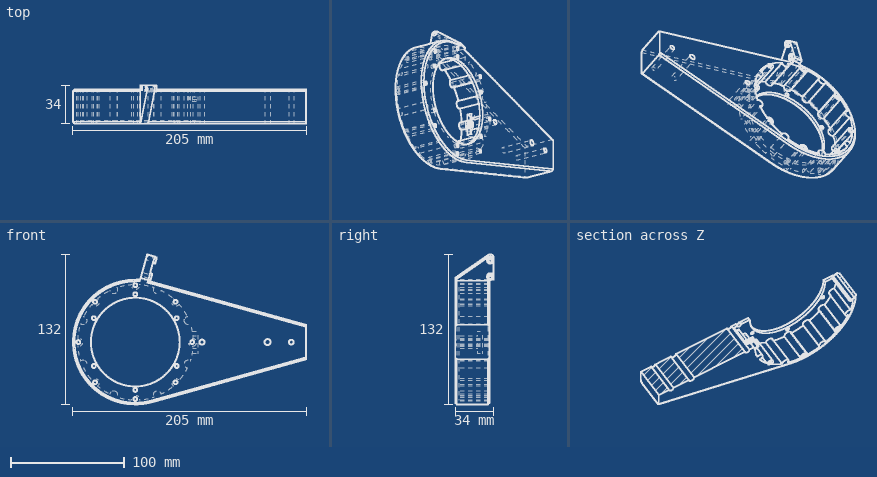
import cadquery as cq
import math

head_radius = 55.0
arm_length = 150.0
arm_end_half_height = 15.2
body_depth = 30.3
edge_chamfer = 1.6

plate_thickness = 3.0
plate_opening_radius = 39.0
cavity_radius = 50.8
column_count = 16
column_radius = 3.5

screw_hole_diameter = 3.3
outer_circle_radius = 50.0
outer_screw_count = 8
inner_circle_radius = 42.0
inner_screw_count = 6
inner_first_angle = 30
arm_holes = [(58.6, 4.3), (116.2, 5.1), (137.1, 4.0)]

notch_half_height = 5.5
notch_back = 19.7
slot_half_height = 9.6
slot_back = 24.0
slot_start = 47.5
tab_thickness = 2.0
pocket_end = head_radius

bracket_thickness = 7.0
bracket_offset = -10.7
bracket_top = 77.0
bracket_back = 34.0
bracket_root = 51.2
bracket_toe = 55.5
bracket_nose_radius = 3.0
bracket_boss_radius = 2.9
bracket_boss_height = 2.0
lower_boss_height = 59.0
ramp_height = 55.4

arm_corner_distance = math.hypot(arm_length, arm_end_half_height)
arm_corner_angle = math.atan2(arm_end_half_height, arm_length)
tangent_angle = arm_corner_angle + math.acos(head_radius / arm_corner_distance)
flank_slope = 90 - math.degrees(tangent_angle)
tangent_x = head_radius * math.cos(tangent_angle)
tangent_z = head_radius * math.sin(tangent_angle)


def front_plane(y):
    """Plane at the given Y with local axes X and Z; negative extrusions run toward +Y."""
    return cq.Workplane("XZ", origin=(0, y, 0))


def cylinder(x, z, radius, front, back):
    return front_plane(front).center(x, z).circle(radius).extrude(front - back)


def along_flank(offset, height):
    """X and Z of a point given along and square to the upper flank, from the head centre."""
    slope = math.radians(flank_slope)
    x = offset * math.cos(slope) + height * math.sin(slope)
    z = height * math.cos(slope) - offset * math.sin(slope)
    return x, z


def make_body():
    slope = math.radians(flank_slope)
    ramp_end = bracket_offset / math.cos(slope) + ramp_height * math.tan(slope)
    foot_end_offset = bracket_offset + bracket_thickness
    foot_end = along_flank(foot_end_offset, math.sqrt(head_radius**2 - foot_end_offset**2))
    body = (
        front_plane(0)
        .moveTo(tangent_x, tangent_z)
        .lineTo(arm_length, arm_end_half_height)
        .lineTo(arm_length, -arm_end_half_height)
        .lineTo(tangent_x, -tangent_z)
        .threePointArc((-head_radius, 0), (0, head_radius))
        .lineTo(ramp_end, ramp_height)
        .lineTo(*foot_end)
        .radiusArc((tangent_x, tangent_z), head_radius)
        .close()
        .extrude(-body_depth)
    )
    outer_edges = body.faces("<Y or >Y").edges("not(>X)")
    return outer_edges.chamfer(edge_chamfer)


def ring_points(radius, count, first_angle=0.0):
    step = 2 * math.pi / count
    angles = [math.radians(first_angle) + i * step for i in range(count)]
    return [(radius * math.cos(a), radius * math.sin(a)) for a in angles]


def make_cavity():
    """Space behind the plate, less the columns left standing against its wall."""
    cavity = cylinder(0, 0, cavity_radius, plate_thickness, body_depth)
    columns = (
        front_plane(0)
        .pushPoints(ring_points(outer_circle_radius, column_count))
        .circle(column_radius)
        .extrude(-body_depth)
    )
    return cavity.cut(columns)


def make_screw_holes():
    points = ring_points(outer_circle_radius, outer_screw_count)
    points += ring_points(inner_circle_radius, inner_screw_count, inner_first_angle)
    holes = front_plane(0).pushPoints(points).circle(screw_hole_diameter / 2).extrude(-body_depth)
    for x, diameter in arm_holes:
        holes = holes.union(cylinder(x, 0, diameter / 2, 0, body_depth))
    return holes


def make_latch_pocket():
    """Two boxes, both centred on Z = 0: a notch behind the plate and a taller slot behind it.

    A round tab of the column is left at the front of the slot, around its screw hole.
    """
    notch = cq.Workplane("XY").box(
        pocket_end - plate_opening_radius,
        notch_back - plate_thickness,
        2 * notch_half_height,
        centered=(False, False, True),
    )
    slot = cq.Workplane("XY").box(
        pocket_end - slot_start,
        slot_back - notch_back,
        2 * slot_half_height,
        centered=(False, False, True),
    )
    notch = notch.translate((plate_opening_radius, plate_thickness, 0))
    slot = slot.translate((slot_start, notch_back, 0))
    tab = cylinder(outer_circle_radius, 0, column_radius, notch_back, notch_back + tab_thickness)
    return notch.union(slot.cut(tab))


def make_bracket():
    """Bracket built upright over the head, then turned to stand square on the flank."""
    boss_y = bracket_back - bracket_nose_radius
    upper_boss_height = bracket_top - bracket_nose_radius

    rise = upper_boss_height - bracket_toe
    edge_angle = math.atan2(rise, boss_y) + math.asin(bracket_nose_radius / math.hypot(boss_y, rise))
    nose_start = (
        boss_y - bracket_nose_radius * math.sin(edge_angle),
        upper_boss_height + bracket_nose_radius * math.cos(edge_angle),
    )

    bracket_plane = cq.Workplane("YZ", origin=(bracket_offset, 0, 0))
    plate = (
        bracket_plane.moveTo(0, bracket_root)
        .lineTo(0, bracket_toe)
        .lineTo(*nose_start)
        .radiusArc((bracket_back, upper_boss_height), bracket_nose_radius)
        .lineTo(bracket_back, bracket_root)
        .close()
        .extrude(bracket_thickness)
        .rotate((0, 0, 0), (0, 1, 0), flank_slope)
    )

    below_overhang = cq.Workplane("XY").box(
        2 * head_radius,
        bracket_back - body_depth,
        2 * head_radius,
        centered=(True, False, True),
    )
    plate = plate.cut(below_overhang.translate((0, body_depth, 0)))

    boss_centres = [(boss_y, lower_boss_height), (boss_y, upper_boss_height)]
    boss_length = bracket_thickness + bracket_boss_height
    on_centres = bracket_plane.pushPoints(boss_centres)
    bosses = on_centres.circle(bracket_boss_radius).extrude(boss_length)
    holes = on_centres.circle(screw_hole_diameter / 2).extrude(boss_length)
    plate = plate.union(bosses.rotate((0, 0, 0), (0, 1, 0), flank_slope))
    return plate.cut(holes.rotate((0, 0, 0), (0, 1, 0), flank_slope))


opening = cylinder(0, 0, plate_opening_radius, 0, body_depth)
result = make_body().union(make_bracket())
result = result.cut(opening).cut(make_cavity()).cut(make_latch_pocket()).cut(make_screw_holes())